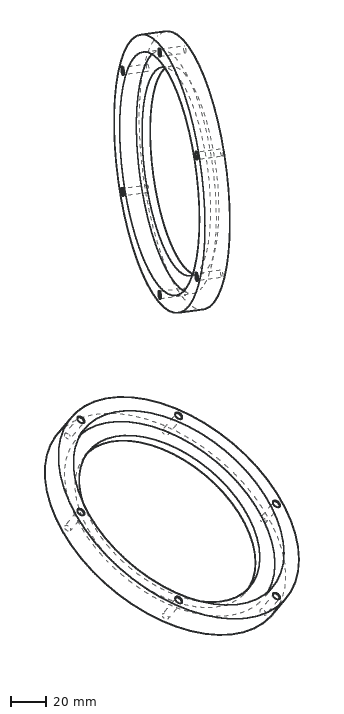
import cadquery as cq

outer_diameter = 160.0
recess_diameter = 140.0
bore_diameter = 120.0
thickness = 15.0
recess_depth = 10.0

hole_count = 6
hole_diameter = 4.2
hole_mouth_diameter = 5.0
countersink_angle = 90
bolt_circle_radius = (outer_diameter + recess_diameter) / 4
first_hole_angle = 90


def ring_body():
    """Flat ring with a wide recess leaving an inner ledge at the back."""
    front_plane = cq.Workplane("XZ").workplane(offset=thickness / 2)
    ring = front_plane.circle(outer_diameter / 2).circle(bore_diameter / 2).extrude(-thickness)
    recess = front_plane.circle(recess_diameter / 2).extrude(-recess_depth)
    return ring.cut(recess)


def drill_rim(body):
    """Evenly spaced through holes with a conical mouth in the rim face."""
    front_plane = cq.Workplane("XZ", origin=(0, -thickness / 2, 0)).add(body)
    centres = front_plane.polarArray(bolt_circle_radius, first_hole_angle, 360, hole_count)
    return centres.cskHole(hole_diameter, hole_mouth_diameter, countersink_angle)


result = drill_rim(ring_body())